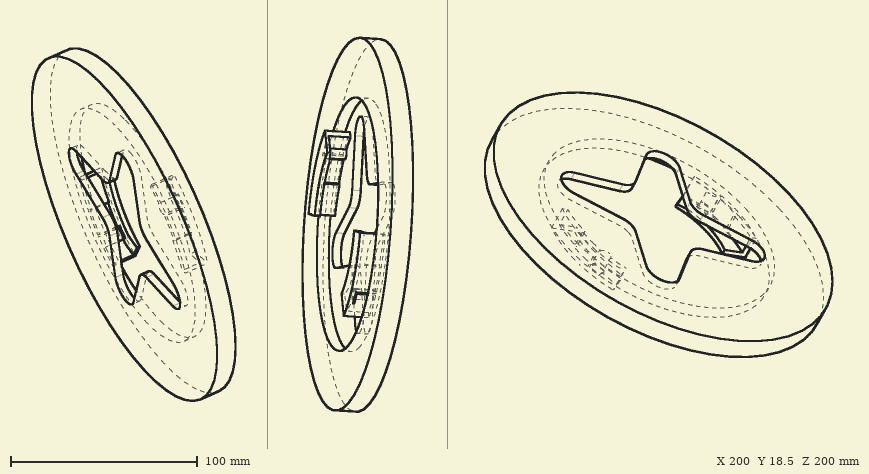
import cadquery as cq
import math

plate_diameter = 200.0
plate_thickness = 11.5
web_thickness = 4.8
recess_radius = 68.0

tip_reach = 60.0
tip_radius = 10.0
inner_corner_radius = 10.0
arm_taper = 12.5

total_depth = 18.5
hook_start = 20.0
hook_end = 70.0
wall_outer_radius = 60.8
wall_inner_radius = 57.5
lip_inner_radius = 46.5
lip_thickness = 3.0
lip_entry_thickness = 1.8
lip_ramp_end = 28.0

ramp_step_angle = 52.0
ramp_height = 1.8
bump_start = 30.0
bump_end = 36.5
bump_height = 2.8
slot_width = 1.0
slot_height = 0.5
slot_end = bump_end + math.degrees(slot_width / wall_inner_radius)

hook_height = total_depth - web_thickness
lip_base = total_depth - lip_thickness
overlap = 0.5


def polar(radius, angle):
    """Point at an angle measured from +Z toward +X."""
    turn = math.radians(angle)
    return radius * math.sin(turn), radius * math.cos(turn)


def back_plane(y):
    """Plane across Y, with local axes +X and +Z; negative extrusion goes +Y."""
    return cq.Workplane("XZ", origin=(0, y, 0))


def sector(inner, outer, start, end, y, height):
    """Ring segment between two radii and two angles."""
    middle = (start + end) / 2
    return (
        back_plane(y)
        .moveTo(*polar(inner, start))
        .lineTo(*polar(outer, start))
        .threePointArc(polar(outer, middle), polar(outer, end))
        .lineTo(*polar(inner, end))
        .threePointArc(polar(inner, middle), polar(inner, start))
        .close()
        .extrude(-height)
    )


def make_star():
    """Star with tapered, round-ended arms and rounded inner corners."""
    taper = math.radians(arm_taper)
    tip_center = tip_reach - tip_radius
    side_x = tip_radius * math.cos(taper)
    side_z = tip_center + tip_radius * math.sin(taper)
    corner = (side_x + side_z * math.tan(taper)) / (1 + math.tan(taper))
    side_radius = math.hypot(side_x, side_z)
    side_angle = math.degrees(math.atan2(side_x, side_z))

    outline = back_plane(0).moveTo(*polar(side_radius, -side_angle))
    for arm in range(4):
        angle = 90 * arm
        outline = outline.threePointArc(polar(tip_reach, angle), polar(side_radius, angle + side_angle))
        outline = outline.lineTo(*polar(corner * math.sqrt(2), angle + 45))
        if arm < 3:
            outline = outline.lineTo(*polar(side_radius, angle + 90 - side_angle))
    star = outline.close().extrude(-web_thickness)
    for x in (-corner, corner):
        for z in (-corner, corner):
            edge = cq.selectors.NearestToPointSelector((x, web_thickness / 2, z))
            star = star.edges(edge).fillet(inner_corner_radius)
    return star


def make_lip_entry_cut():
    """Wedge that thins the lip's underside toward the hook's start."""
    reach = lip_ramp_end - hook_start
    top = lip_base + lip_thickness - lip_entry_thickness
    length = wall_inner_radius * math.sin(math.radians(reach))
    wedge = (
        cq.Workplane("XY")
        .polyline([(0, lip_base), (length, lip_base), (0, top)])
        .close()
        .extrude(wall_inner_radius)
        .rotate((0, 0, 0), (0, 1, 0), hook_start)
    )
    bounds = sector(
        lip_inner_radius - overlap, wall_inner_radius, hook_start, hook_end, lip_base, lip_thickness
    )
    return wedge.intersect(bounds)


def make_snap_ramp():
    """Thickening that grows from the hook's end and stops at a step."""
    middle = (ramp_step_angle + hook_end) / 2
    root = wall_inner_radius + overlap
    peak = wall_inner_radius - ramp_height
    return (
        back_plane(web_thickness)
        .moveTo(*polar(root, ramp_step_angle))
        .lineTo(*polar(peak, ramp_step_angle))
        .threePointArc(polar(wall_inner_radius - ramp_height / 2, middle), polar(wall_inner_radius, hook_end))
        .lineTo(*polar(root, hook_end))
        .threePointArc(polar(root, middle), polar(root, ramp_step_angle))
        .close()
        .extrude(-hook_height)
    )


def make_bump():
    """Rounded stop on the wall, reaching up to the lip."""
    middle = (bump_start + bump_end) / 2
    root = wall_inner_radius + overlap
    return (
        back_plane(web_thickness)
        .moveTo(*polar(root, bump_start))
        .lineTo(*polar(wall_inner_radius, bump_start))
        .threePointArc(polar(wall_inner_radius - bump_height, middle), polar(wall_inner_radius, bump_end))
        .lineTo(*polar(root, bump_end))
        .close()
        .extrude(-hook_height + lip_thickness)
    )


def make_wall_slot():
    """L-shaped slot that frees the end and top of the wall behind the bump."""
    inner = wall_inner_radius - bump_height - overlap
    outer = wall_outer_radius + overlap
    above = sector(inner, outer, bump_start, slot_end, lip_base - slot_height / 2, slot_height)
    beside = sector(inner, outer, bump_end, slot_end, web_thickness, lip_base - web_thickness)
    return above.union(beside)


def make_hook():
    wall = sector(wall_inner_radius, wall_outer_radius, hook_start, hook_end, web_thickness, hook_height)
    lip = sector(lip_inner_radius, wall_outer_radius, hook_start, hook_end, lip_base, lip_thickness)
    hook = wall.union(lip).cut(make_lip_entry_cut())
    hook = hook.union(make_snap_ramp()).union(make_bump())
    return hook.cut(make_wall_slot())


plate = back_plane(0).circle(plate_diameter / 2).extrude(-plate_thickness)
recess = back_plane(web_thickness).circle(recess_radius).extrude(web_thickness - plate_thickness)
result = plate.cut(recess).cut(make_star())
hook = make_hook()
for turn in (0, 180):
    result = result.union(hook.rotate((0, 0, 0), (0, 1, 0), turn))